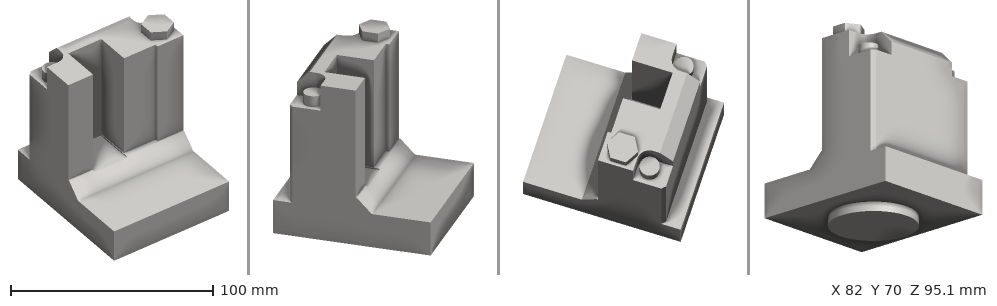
import cadquery as cq
import math

length = 82.0
width = 70.0
spigot_height = 4.9
spigot_diameter = 45.0
plate_top = 23.2

wall_offset = 8.2
wall_thickness = 34.8
wall_top = 90.0
top_chamfer = 6.75
corner_chamfer = 1.9
ledge_z = 30.9
ledge_depth = 0.7
foot_rise = ledge_z - plate_top

notch_length = 16.5
notch_width = 13.0
notch_radius = 6.3
notch_floor = 76.3
pin_diameter = 10.0
pin_top = 82.15
pin_inset_x = 10.4
pin_inset_y = 7.5

slot_depth = 21.1
slot_back_inset = 34.8
slot_width = 20.2
floor_shift = 0.4
floor_drop = 0.8
relief_depth = 1.8
relief_back_inset = 15.7

hex_flats = 14.1
hex_corners = hex_flats / math.cos(math.pi / 6)
hex_x = -8.0
hex_back_inset = 8.6
hex_top = 95.1

back_y = width / 2
wall_outer = -length / 2 + wall_offset
wall_inner = wall_outer + wall_thickness


def block(x_start, x_end, y_start, y_end, z_start, z_end):
    """Box given by its limits along each axis."""
    size = (x_end - x_start, y_end - y_start, z_end - z_start)
    return cq.Workplane("XY").box(*size, centered=False).translate((x_start, y_start, z_start))


def make_base():
    plate = block(-length / 2, length / 2, -back_y, back_y, spigot_height, plate_top)
    spigot = cq.Workplane("XY").circle(spigot_diameter / 2).extrude(spigot_height)
    return plate.union(spigot)


def make_wall():
    foot_start = wall_inner + ledge_depth
    profile = [
        (wall_outer, plate_top),
        (wall_outer, wall_top - top_chamfer),
        (wall_outer + top_chamfer, wall_top),
        (wall_inner, wall_top),
        (wall_inner, ledge_z),
        (foot_start, ledge_z),
        (foot_start + foot_rise, plate_top),
    ]
    wall = cq.Workplane("XZ").polyline(profile).close().extrude(width / 2, both=True)
    for side in (-1, 1):
        corner = [
            (wall_outer, side * back_y),
            (wall_outer + corner_chamfer, side * back_y),
            (wall_outer, side * (back_y - corner_chamfer)),
        ]
        cutter = cq.Workplane("XY").workplane(offset=plate_top).polyline(corner).close()
        wall = wall.cut(cutter.extrude(wall_top - plate_top))
    return wall


def make_notch(side):
    y_edges = sorted((side * back_y, side * (back_y - notch_width)))
    notch = block(wall_outer, wall_outer + notch_length, *y_edges, notch_floor, wall_top)
    rounded_edge = "|Z and >X and <Y" if side > 0 else "|Z and >X and >Y"
    return notch.edges(rounded_edge).fillet(notch_radius)


def make_pin(side):
    pin = cq.Workplane("XY").circle(pin_diameter / 2).extrude(pin_top - notch_floor)
    return pin.translate((wall_outer + pin_inset_x, side * (back_y - pin_inset_y), notch_floor))


def make_slot():
    slot_x = wall_inner - slot_depth
    slot_back = back_y - slot_back_inset
    slot_front = slot_back - slot_width
    open_x = wall_inner + ledge_depth + foot_rise
    upper = block(slot_x, open_x, slot_front, slot_back, ledge_z, wall_top)
    floor_pocket = block(
        slot_x, open_x, slot_front - floor_shift, slot_back - floor_shift, ledge_z - floor_drop, ledge_z
    )
    relief_back = back_y - relief_back_inset
    relief = block(wall_inner - relief_depth, open_x, slot_back, relief_back, ledge_z, wall_top)
    return upper.union(floor_pocket).union(relief)


def make_hex_head():
    head = cq.Workplane("XY").polygon(6, hex_corners).extrude(hex_top - wall_top)
    return head.translate((hex_x, back_y - hex_back_inset, wall_top))


result = make_base().union(make_wall()).cut(make_slot())
for side in (-1, 1):
    result = result.cut(make_notch(side)).union(make_pin(side))
result = result.union(make_hex_head())